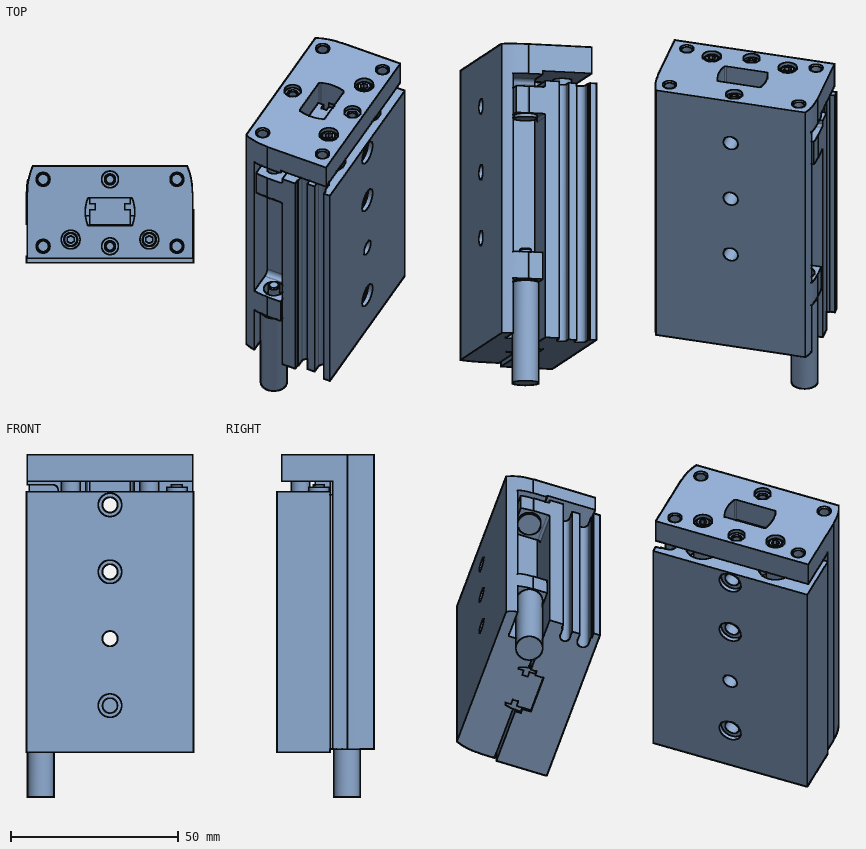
import cadquery as cq
import math


housing_width = 50.0
housing_height = 78.0
housing_depth = 15.9
half_housing = housing_width / 2

side_setback = 0.25
table_half_width = half_housing - side_setback
table_back = 29.0
table_back_half_width = 23.1
table_bottom = 1.0
table_front = 16.6
flank_start = 21.0
flank_blend_width = 0.3
flank_blend_inset = 0.1
flank_mid_half_width = 24.3
flank_mid = 25.2
flank_arc_start = flank_start + flank_blend_width
flank_arc_half_width = table_half_width - flank_blend_inset
plate_front = 1.4
plate_bottom = 81.0
plate_top = 89.0

slab_front = 25.7
pocket_wall = -15.5
pocket_top = 80.0
bracket_top = 25.8
bracket_bottom = 17.7
pocket_fillet = 1.6

channel_front = 11.1
channel_back = 19.45
channel_half_width = 7.4
channel_end_half_width = 6.6
channel_corner_radius = 0.6
rail_half_width = 6.0
rail_front = 11.4
neck_half_width = 4.4
neck_front = 15.9
neck_back = 17.7
guide_arm_front = 14.1
guide_arm_setback = 1.0

groove_land = -23.5
groove_centres = (4.1, 9.8)
groove_widths = (3.5, 3.0)
groove_axis_x = -21.2
groove_lip = 0.3
groove_span_front = groove_centres[0] - groove_widths[0] / 2 - groove_lip
groove_span_back = groove_centres[1] + groove_widths[1] / 2 + groove_lip

lug_bottom = 68.0
lug_top = 76.1
lug_back = 24.9
lug_inner = -16.0
lug_fillet = 0.8
lug_boss_diameter = 7.0
lug_boss_height = 1.0
lug_hole_diameter = 4.0

mount_heights = (14.0, 34.0, 54.0, 74.0)
mount_hole_diameter = 4.5
mount_recess_diameter = 7.0
mount_recess_depth = 1.5
blind_mount_height = mount_heights[0]
plain_mount_height = mount_heights[1]
blind_mount_depth = 9.0

plate_hole_centre_y = 15.0
plate_hole_half_pitch_x = 20.0
plate_hole_half_pitch_y = 10.0
corner_hole_diameter = 3.24
corner_hole_mouth = 4.13
corner_hole_depth = 7.0
centring_diameter = 5.0
centring_depth = 1.3
centring_hole_diameter = 2.46
centring_hole_mouth = 3.24

rod_x = 11.75
rod_y = 7.0
rod_diameter = 5.6
rod_bottom = 20.0
rod_head_diameter = 4.13
rod_head_chamfer = 0.2
rod_head_sink = 0.5
rod_head_top = plate_top - rod_head_sink
rod_socket_across_flats = 2.0
rod_socket_depth = 2.0
rod_socket_turn = 30.0
rod_seat_diameter = 5.6
rod_seat_depth = 1.5
rod_recess_diameter = 10.0
rod_recess_depth = 6.0

absorber_x = -20.7
absorber_y = 20.9
absorber_diameter = 8.0
absorber_bottom = -13.4
absorber_chamfer = 0.6
absorber_neck_diameter = 6.0
absorber_neck_sink = 4.0
absorber_neck_top = bracket_top - absorber_neck_sink
absorber_pin_diameter = 3.5
absorber_pin_top = 27.4
absorber_pin_chamfer = 0.4

bumper_x = 20.0
bumper_y = 12.5
bumper_diameter = 6.1
bumper_top = 79.3
bumper_tip_diameter = 3.24
bumper_tip_top = 80.0
bumper_seat = 72.0


def box(x_range, y_range, z_range):
    size = [high - low for low, high in (x_range, y_range, z_range)]
    return cq.Workplane("XY").box(*size, centered=False).translate((x_range[0], y_range[0], z_range[0]))


def upright_cylinder(x, y, diameter, bottom, top):
    return cq.Workplane("XY", origin=(x, y, bottom)).circle(diameter / 2).extrude(top - bottom)


def upright_cone(x, y, bottom_diameter, top_diameter, bottom, top):
    cone = cq.Solid.makeCone(bottom_diameter / 2, top_diameter / 2, top - bottom, cq.Vector(x, y, bottom))
    return cq.Workplane(cone)


def cross_cylinder(z, diameter, front, back):
    """Cylinder along +Y on the middle plane."""
    plane = cq.Plane(origin=(0, front, z), xDir=(1, 0, 0), normal=(0, 1, 0))
    return cq.Workplane(plane).circle(diameter / 2).extrude(back - front)


def table_section(front, bottom, top):
    """Full-width block with flat sides that curve inward towards its back."""
    return (
        cq.Workplane("XY", origin=(0, 0, bottom))
        .moveTo(-table_half_width, front)
        .lineTo(table_half_width, front)
        .lineTo(table_half_width, flank_start)
        .lineTo(flank_arc_half_width, flank_arc_start)
        .threePointArc((flank_mid_half_width, flank_mid), (table_back_half_width, table_back))
        .lineTo(-table_back_half_width, table_back)
        .threePointArc((-flank_mid_half_width, flank_mid), (-flank_arc_half_width, flank_arc_start))
        .lineTo(-table_half_width, flank_start)
        .close()
        .extrude(top - bottom)
    )


def guide_channel():
    middle = (channel_front + channel_back) / 2
    return (
        cq.Workplane("XY", origin=(0, 0, table_bottom))
        .moveTo(-channel_end_half_width, channel_front)
        .lineTo(channel_end_half_width, channel_front)
        .threePointArc((channel_half_width, middle), (channel_end_half_width, channel_back))
        .lineTo(-channel_end_half_width, channel_back)
        .threePointArc((-channel_half_width, middle), (-channel_end_half_width, channel_front))
        .close()
        .extrude(plate_top - table_bottom)
        .edges("|Z")
        .fillet(channel_corner_radius)
    )


def rail():
    body = box(
        (-rail_half_width, rail_half_width), (rail_front, channel_back), (table_bottom, plate_bottom)
    )
    for inner, outer in ((-rail_half_width, -neck_half_width), (neck_half_width, rail_half_width)):
        body = body.cut(box((inner, outer), (neck_front, neck_back), (table_bottom, plate_bottom)))
    return body


def side_pockets():
    sides = (-housing_width, pocket_wall)
    depth = (table_front, slab_front)
    upper = box(sides, depth, (bracket_top, pocket_top)).edges("|Y and >X").fillet(pocket_fillet)
    lower = box(sides, depth, (table_bottom, bracket_bottom)).edges("|Y and >X and >Z").fillet(pocket_fillet)
    return upper.union(lower)


def cut_plate_holes(body):
    corner_hole_floor = plate_top - corner_hole_depth
    mouth_bottom = plate_top - (corner_hole_mouth - corner_hole_diameter) / 2
    centring_mouth_depth = (centring_hole_mouth - centring_hole_diameter) / 2
    centring_floor = plate_top - centring_depth
    for side in (-1, 1):
        y = plate_hole_centre_y + side * plate_hole_half_pitch_y
        for x in (-plate_hole_half_pitch_x, plate_hole_half_pitch_x):
            hole = upright_cylinder(x, y, corner_hole_diameter, corner_hole_floor, plate_top)
            mouth = upright_cone(x, y, corner_hole_diameter, corner_hole_mouth, mouth_bottom, plate_top)
            body = body.cut(hole).cut(mouth)
        body = body.cut(upright_cylinder(0, y, centring_diameter, centring_floor, plate_top))
        body = body.cut(upright_cylinder(0, y, centring_hole_diameter, plate_bottom, plate_top))
        body = body.cut(
            upright_cone(
                0, y, centring_hole_diameter, centring_hole_mouth,
                centring_floor - centring_mouth_depth, centring_floor,
            )
        )
        x = side * rod_x
        rod_hole = upright_cylinder(x, rod_y, rod_head_diameter, plate_bottom, plate_top)
        rod_seat = upright_cylinder(x, rod_y, rod_seat_diameter, plate_top - rod_seat_depth, plate_top)
        body = body.cut(rod_hole).cut(rod_seat)
    return body


def make_slide_table():
    body = table_section(plate_front, plate_bottom, plate_top)
    body = body.union(table_section(table_front, table_bottom, plate_bottom))
    body = body.cut(guide_channel()).union(rail())
    body = body.cut(side_pockets())
    body = body.cut(
        upright_cylinder(absorber_x, absorber_y, absorber_neck_diameter, bracket_bottom, bracket_top)
    )
    body = cut_plate_holes(body)
    for z in mount_heights:
        if z != blind_mount_height:
            body = body.cut(cross_cylinder(z, mount_hole_diameter, rail_front, table_back))
    return body


def sensor_grooves():
    grooves = box(
        (-half_housing, groove_land),
        (groove_span_front, groove_span_back),
        (0, housing_height),
    )
    for y, width in zip(groove_centres, groove_widths):
        mouth = box((groove_land, groove_axis_x), (y - width / 2, y + width / 2), (0, housing_height))
        bottom = upright_cylinder(groove_axis_x, y, width, 0, housing_height)
        grooves = grooves.union(mouth).union(bottom)
    return grooves


def stop_lug():
    flanked = table_section(0, lug_bottom, lug_top).translate((-side_setback, 0, 0))
    window = box((-half_housing, lug_inner), (housing_depth, lug_back), (lug_bottom, lug_top))
    lug = flanked.intersect(window)
    boss = upright_cylinder(
        absorber_x, absorber_y, lug_boss_diameter, lug_bottom - lug_boss_height, lug_bottom
    )
    hole = upright_cylinder(absorber_x, absorber_y, lug_hole_diameter, lug_bottom, lug_top)
    return lug.union(boss).cut(hole)


def guide_slot():
    """Room for the rail and the guide arms, open towards the slide table."""
    heights = (0, housing_height)
    rail_room = box((-rail_half_width, rail_half_width), (rail_front, housing_depth), heights)
    arm_room = box((-channel_half_width, channel_half_width), (guide_arm_front, housing_depth), heights)
    return rail_room.union(arm_room)


def guide_arms():
    """Arms beside the rail that fill the channel of the slide table and reach into the rail necks."""
    heights = (table_bottom, housing_height - guide_arm_setback)
    width = (-channel_half_width, channel_half_width)
    arms = box(width, (guide_arm_front, housing_depth), heights)
    arms = arms.union(box(width, (housing_depth, channel_back), heights).intersect(guide_channel()))
    return arms.cut(rail())


def make_housing():
    body = box((-half_housing, half_housing), (0, housing_depth), (0, housing_height))
    root_area = cq.selectors.BoxSelector(
        (-housing_width, housing_depth - lug_fillet, lug_bottom - lug_fillet),
        (lug_inner, housing_depth + lug_fillet, lug_top + lug_fillet),
    )
    body = body.union(stop_lug()).edges("|X").edges(root_area).fillet(lug_fillet)
    body = body.cut(sensor_grooves())
    body = body.cut(guide_slot()).union(guide_arms())
    for side in (-1, 1):
        x = side * rod_x
        recess_floor = housing_height - rod_recess_depth
        body = body.cut(upright_cylinder(x, rod_y, rod_diameter, rod_bottom, housing_height))
        body = body.cut(upright_cylinder(x, rod_y, rod_recess_diameter, recess_floor, housing_height))
    body = body.cut(upright_cylinder(bumper_x, bumper_y, bumper_diameter, bumper_seat, housing_height))
    for z in mount_heights:
        depth = blind_mount_depth if z == blind_mount_height else housing_depth
        body = body.cut(cross_cylinder(z, mount_hole_diameter, 0, depth))
        if z != plain_mount_height:
            body = body.cut(cross_cylinder(z, mount_recess_diameter, 0, mount_recess_depth))
    return body


def make_piston_rod(x):
    rod = upright_cylinder(x, rod_y, rod_diameter, rod_bottom, plate_bottom)
    head = upright_cylinder(x, rod_y, rod_head_diameter, plate_bottom, rod_head_top)
    rod = rod.union(head.faces(">Z").chamfer(rod_head_chamfer))
    socket = (
        cq.Workplane("XY", origin=(x, rod_y, rod_head_top))
        .transformed(rotate=(0, 0, rod_socket_turn))
        .polygon(6, rod_socket_across_flats / math.cos(math.radians(rod_socket_turn)))
        .extrude(-rod_socket_depth)
    )
    return rod.cut(socket)


def make_shock_absorber():
    body = upright_cylinder(absorber_x, absorber_y, absorber_diameter, absorber_bottom, bracket_bottom)
    body = body.faces(">Z").chamfer(absorber_chamfer)
    neck = upright_cylinder(
        absorber_x, absorber_y, absorber_neck_diameter, bracket_bottom, absorber_neck_top
    )
    pin = upright_cylinder(
        absorber_x, absorber_y, absorber_pin_diameter, absorber_neck_top, absorber_pin_top
    )
    return body.union(neck).union(pin.faces(">Z").chamfer(absorber_pin_chamfer))


def make_bumper():
    head = upright_cylinder(bumper_x, bumper_y, bumper_diameter, bumper_seat, bumper_top)
    tip = upright_cylinder(bumper_x, bumper_y, bumper_tip_diameter, bumper_top, bumper_tip_top)
    return head.union(tip)


housing = make_housing()
slide_table = make_slide_table()
piston_rods = [make_piston_rod(side * rod_x) for side in (-1, 1)]
shock_absorber = make_shock_absorber()
bumper = make_bumper()

result = cq.Compound.makeCompound(
    [
        housing.val(),
        slide_table.val(),
        *[rod.val() for rod in piston_rods],
        shock_absorber.val(),
        bumper.val(),
    ]
)